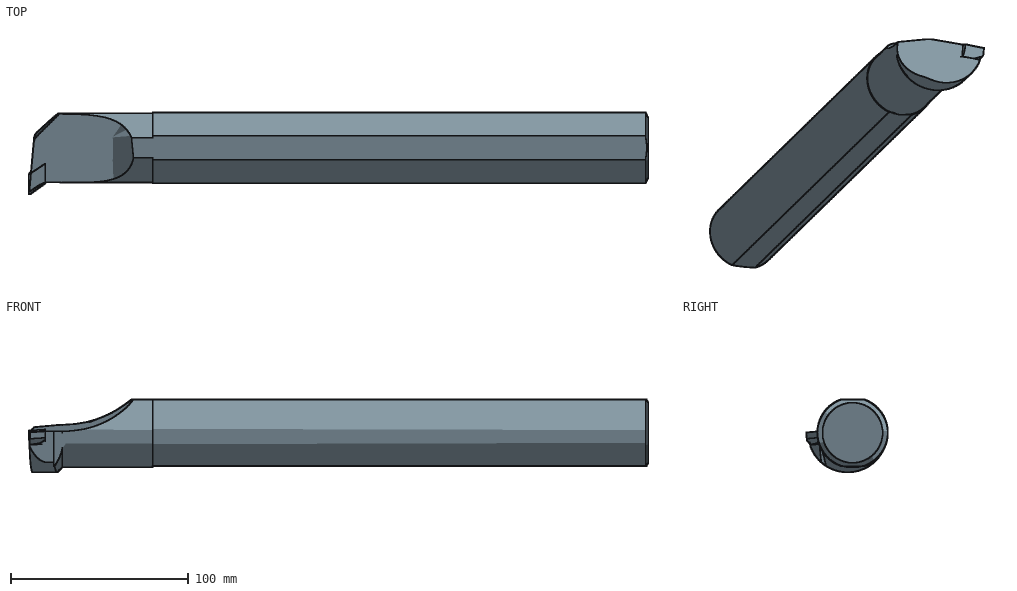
import cadquery as cq
import math

total_length = 349.92
shank_radius = 20.0
flat_height = 18.8
end_chamfer_length = 3.0
end_chamfer_depth = 1.5

neck_end = 70.0
neck_radius = 19.65

head_front = 0.3
head_radius = 22.42
head_axis_y = -2.8
cone_end = 19.0

rake_angle = 5.5
chip_face_z = 2.7
scoop_start = 19.8
scoop_radius = 55.0
scoop_sweep = 60.0
scoop_steps = 4

front_angle = 5.2
corner_x = 3.1
corner_y = 5.1
corner_round = 5.6

flank_front_y = -25.0
flank_angle = 30.0
flank_bend_x = 9.5
flank_bend_y = -19.6
flank_y = -19.5
flank_end = 14.1
flank_lean = 6.0
heel_end = 17.3
heel_runout_end = 21.5
heel_runout_y = -20.4
heel_lean = 13.0

insert_tip_y = -26.43
insert_tip_width = 0.8
insert_length = 9.4
insert_side_y = -20.2
insert_inner_front_y = -15.2
insert_inner_back_y = -8.9
insert_thickness = 7.3
insert_land = 3.6
insert_side_bevel = 1.6
insert_front_bevel = 0.7

cut_reach = 60.0


def x_cylinder(radius, x_start, x_end):
    return cq.Workplane("YZ").workplane(offset=x_start).circle(radius).extrude(x_end - x_start)


def on_chip_face(body):
    """Moves a shape from the XY plane to the chip face."""
    return body.rotate((0, 0, 0), (1, 0, 0), rake_angle).translate((0, 0, chip_face_z))


def flat_cutter(side, x_start):
    """Block holding the stock beyond the flat at Z = side * flat_height."""
    block = cq.Workplane("XY").box(total_length, 2 * shank_radius, shank_radius, centered=(False, True, True))
    return block.translate((x_start, 0, side * (flat_height + shank_radius / 2)))


def make_blank():
    """Shank, neck and head before the cutting end is shaped."""
    shank = x_cylinder(shank_radius, neck_end, total_length)
    shank = shank.faces(">X").chamfer(end_chamfer_depth, end_chamfer_length)
    neck = x_cylinder(neck_radius, head_front, neck_end)
    cone = (
        cq.Workplane("XY")
        .polyline([(0, 0), (0, neck_radius + cone_end), (cone_end, neck_radius), (cone_end, 0)])
        .close()
        .revolve(360, (0, 0, 0), (1, 0, 0))
    )
    head = x_cylinder(head_radius, head_front, cone_end).translate((0, head_axis_y, 0)).intersect(cone)
    blank = shank.union(neck).union(head)
    return blank.cut(flat_cutter(1, 0)).cut(flat_cutter(-1, neck_end))


def scoop_point(angle):
    return (
        scoop_start + scoop_radius * math.sin(math.radians(angle)),
        scoop_radius * (1 - math.cos(math.radians(angle))),
    )


def scoop_cutter():
    """Stock above the chip face, whose flat and curved stretches form one smooth surface."""
    flat_points = [(-scoop_start, 0), (0, 0), (scoop_start / 2, 0)]
    curve_points = [scoop_point(scoop_sweep * step / scoop_steps) for step in range(scoop_steps + 1)]
    profile = (
        cq.Workplane("XZ")
        .spline(flat_points + curve_points)
        .lineTo(curve_points[-1][0], cut_reach)
        .lineTo(-scoop_start, cut_reach)
        .close()
    )
    return on_chip_face(profile.extrude(2 * cut_reach).translate((0, cut_reach, 0)))


def front_cutter():
    """Stock ahead of the front face and the 45 degree corner chamfer."""
    front_run = (corner_y + cut_reach) * math.tan(math.radians(front_angle))
    cutter = (
        cq.Workplane("XY")
        .moveTo(corner_x - front_run, -cut_reach)
        .lineTo(corner_x, corner_y)
        .lineTo(corner_x + cut_reach, corner_y + cut_reach)
        .lineTo(-cut_reach, corner_y + cut_reach)
        .lineTo(-cut_reach, -cut_reach)
        .close()
        .extrude(cut_reach, both=True)
    )
    corner = cq.NearestToPointSelector((corner_x, corner_y, 0))
    return on_chip_face(cutter.edges("|Z").edges(corner).fillet(corner_round))


def side_cutter(profile, lean):
    """Prism of a profile in the chip face, turned so that its +Y wall leans inward below the face."""
    wall_z = chip_face_z + flank_y * math.tan(math.radians(rake_angle))
    prism = profile.extrude(cut_reach, both=True)
    return prism.rotate((0, flank_y, 0), (1, flank_y, 0), lean).translate((0, 0, wall_z))


def flank_cutter():
    """Smooth wall that follows the insert and bends to run along X."""
    start_direction = (math.cos(math.radians(flank_angle)), math.sin(math.radians(flank_angle)))
    profile = (
        cq.Workplane("XY")
        .moveTo(0, flank_front_y)
        .spline(
            [(flank_bend_x, flank_bend_y), (flank_end, flank_y)],
            tangents=[start_direction, (1, 0)],
            includeCurrent=True,
        )
        .lineTo(flank_end, -cut_reach)
        .lineTo(0, -cut_reach)
        .close()
    )
    return side_cutter(profile, flank_lean)


def heel_cutter():
    """Flat wall behind the flank, with a slanted wall that runs out on the neck."""
    profile = (
        cq.Workplane("XY")
        .moveTo(flank_end, flank_y)
        .lineTo(heel_end, flank_y)
        .lineTo(heel_runout_end, heel_runout_y)
        .lineTo(heel_runout_end, -cut_reach)
        .lineTo(flank_end, -cut_reach)
        .close()
    )
    return side_cutter(profile, heel_lean)


def bevel_cutter(depth, edge_angle):
    """Wedge along an edge through the origin, cutting the lower part of a wall to the given depth."""
    return (
        cq.Workplane("YZ")
        .moveTo(0, -insert_land)
        .lineTo(depth, -insert_thickness)
        .lineTo(-depth, -insert_thickness)
        .lineTo(-depth, -insert_land)
        .close()
        .extrude(cut_reach, both=True)
        .rotate((0, 0, 0), (0, 0, 1), edge_angle)
    )


def make_insert():
    plate = (
        cq.Workplane("XY")
        .moveTo(0, insert_tip_y)
        .lineTo(insert_tip_width, insert_tip_y)
        .lineTo(insert_length, insert_side_y)
        .lineTo(insert_length, insert_inner_back_y)
        .lineTo(0, insert_inner_front_y)
        .close()
        .extrude(-insert_thickness)
    )
    side_angle = math.degrees(math.atan2(insert_side_y - insert_tip_y, insert_length - insert_tip_width))
    side_bevel = bevel_cutter(insert_side_bevel, side_angle).translate((insert_tip_width, insert_tip_y, 0))
    front_bevel = bevel_cutter(insert_front_bevel, -90)
    return on_chip_face(plate.cut(side_bevel).cut(front_bevel))


insert = make_insert()
bar = (
    make_blank()
    .cut(scoop_cutter())
    .cut(front_cutter())
    .cut(flank_cutter())
    .cut(heel_cutter())
    .cut(insert)
)

result = cq.Compound.makeCompound([bar.val(), insert.val()])